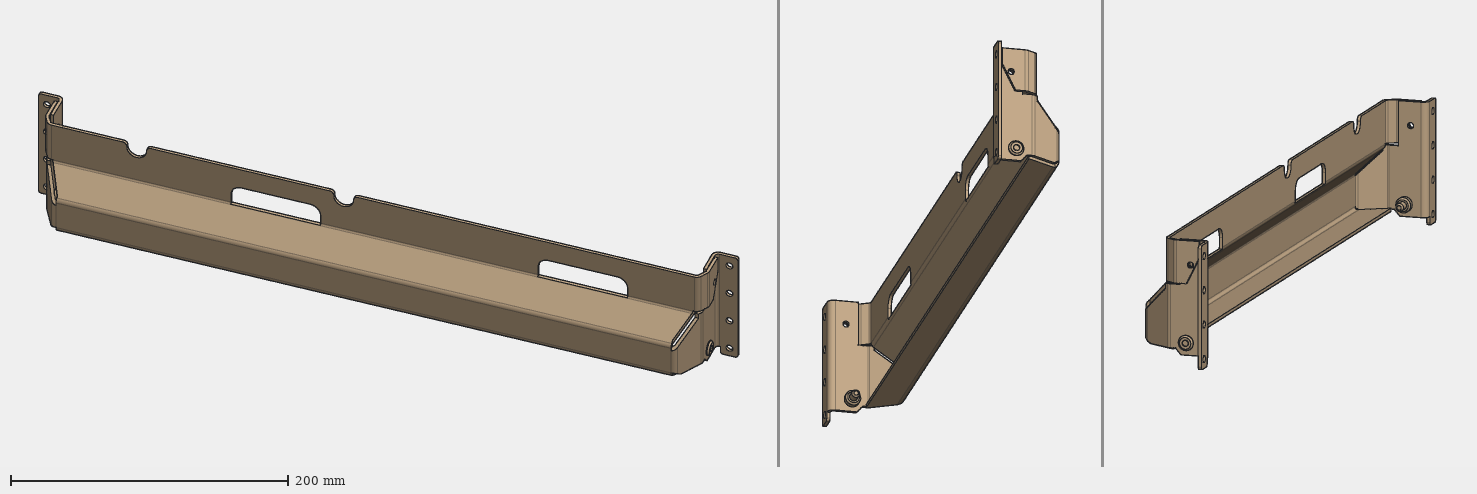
import cadquery as cq
import math

length = 539.0
depth = 53.0
height = 91.5
sheet = 2.5
inner_bend = 2.4
outer_bend = inner_bend + sheet

half = length / 2
wall_x = -half + 16.5
cheek_front_x = -half + 29.5
cheek_angle = math.radians(30)
wall_bottom = 6.5
cheek_bottom = 11.5
wall_front_low = 21.0
wall_front_high = 25.5
cheek_gap = 1.45
wall_top_front = 22.0
roof_gap = 0.5

shelf_bottom = 9.5
shelf_back = 27.5
plate_depth = 33.5
roof_top = 58.5
front_top = roof_top - (depth - plate_depth)

tab_gap = 0.45
tab_x = wall_x - tab_gap - sheet
strap_front_x = -half + 19.0
tab_bottom = 60.0
tab_back = 6.5
tab_chamfer_depth = 9.5
tab_chamfer_height = 19.5
tab_hole_diameter = 4.5
tab_hole_depth = 13.0
tab_hole_z = 74.0

flange_width = 13.5
flange_corner = 2.0
flange_hole_diameter = 5.2
flange_hole_edge = 6.5
flange_hole_bottom = 7.0
flange_hole_pitch = 25.5
flange_hole_count = 4

slot_width = 69.0
slot_corner = 8.0
slot_top = 75.0
slot_bottom = 58.0
slot_centres = (-75.0, 161.5)
notch_radius = 7.5
notch_depth = 11.5
notch_rounding = 3.0
notch_centres = (-182.0, -22.5)

screw_depth = 17.0
screw_z = 15.5
screw_diameter = 6.0
screw_length = 15.5
screw_tip_chamfer = 1.35
head_diameter = 11.5
head_top_diameter = 8.5
head_height = 2.0
socket_diameter = 4.5
socket_depth = 1.0
nut_diameter = 11.5
nut_height = 5.1
nut_chamfer = 1.35


left_end = cq.Plane(origin=(-half, 0, 0), xDir=(0, 1, 0), normal=(1, 0, 0))


def unit(start, end):
    """Unit direction from one 2D point to another."""
    span = math.dist(start, end)
    return (end[0] - start[0]) / span, (end[1] - start[1]) / span


def bent_sheet(plane, points, width):
    """Folded sheet: points trace one face, and the thickness lies on their left."""
    directions = [unit(a, b) for a, b in zip(points, points[1:])]
    before = directions[:1] + directions
    after = directions + directions[-1:]
    other_face = []
    turns = []
    for (x, y), (ax, ay), (bx, by) in zip(points, before, after):
        scale = sheet / (1 + ax * bx + ay * by)
        other_face.append((x - scale * (ay + by), y + scale * (ax + bx)))
        turns.append(ax * by - ay * bx)
    body = cq.Workplane(plane).polyline(points + other_face[::-1]).close().extrude(width)
    for traced, opposite, turn in list(zip(points, other_face, turns))[1:-1]:
        inside, outside = (opposite, traced) if turn > 0 else (traced, opposite)
        for corner, radius in ((inside, inner_bend), (outside, outer_bend)):
            middle = plane.toWorldCoords((corner[0], corner[1], width / 2))
            body = body.edges(cq.NearestToPointSelector(middle.toTuple())).fillet(radius)
    return body


def side_prism(points):
    """Solid over a Y-Z outline that spans the whole length."""
    return cq.Workplane(left_end).polyline(points).close().extrude(length)


def both_ends(body):
    """The left-end body joined with its mirror image at the right end."""
    return body.union(body.mirror("YZ"))


def cheek_x(y):
    """X of the left cheek's outer face at a given Y."""
    return cheek_front_x - (y + depth) * math.tan(cheek_angle)


cheek_turn = math.pi / 2 - cheek_angle
front_bend_x = cheek_front_x + outer_bend * math.tan(cheek_turn / 2)


def panels():
    """Shelf, front, roof and upper plate, trimmed to clear the cheeks."""
    profile = [
        (-plate_depth, height),
        (-plate_depth, roof_top),
        (-depth, front_top),
        (-depth, shelf_bottom),
        (-shelf_back, shelf_bottom),
    ]
    ribbon = bent_sheet(left_end, profile, length)
    inset = (sheet + cheek_gap) / math.cos(cheek_angle)
    back_x = cheek_x(-shelf_back) + inset
    front_y = -depth + (cheek_front_x + inset - front_bend_x) / math.tan(cheek_angle)
    plan = [
        (front_bend_x, -depth),
        (front_bend_x, front_y),
        (back_x, -shelf_back),
        (-back_x, -shelf_back),
        (-front_bend_x, front_y),
        (-front_bend_x, -depth),
    ]
    return ribbon.intersect(cq.Workplane("XY").polyline(plan).close().extrude(height))


def end_wall():
    """Left cheek, end wall and mounting flange, folded back from the front panel."""
    wall_bend_y = -depth + (cheek_front_x - wall_x) / math.tan(cheek_angle)
    profile = [
        (-half, -sheet),
        (wall_x, -sheet),
        (wall_x, wall_bend_y),
        (cheek_front_x, -depth),
        (front_bend_x + sheet, -depth),
    ]
    ribbon = bent_sheet(cq.Plane.XY(), profile, height)
    roof_drop = (sheet + roof_gap) * math.sqrt(2)
    outline = [
        (0, 0),
        (-sheet, 0),
        (-sheet, wall_bottom),
        (-wall_front_low, wall_bottom),
        (-wall_front_high, cheek_bottom),
        (outer_bend - depth, cheek_bottom),
        (-depth, shelf_bottom + outer_bend),
        (-depth, front_top - roof_drop),
        (-plate_depth, roof_top - roof_drop),
        (-plate_depth, tab_bottom - cheek_gap),
        (-wall_top_front, tab_bottom - cheek_gap),
        (-wall_top_front, height),
        (0, height),
    ]
    return ribbon.intersect(side_prism(outline))


def strap():
    """Left strap and tab, folded back from the upper plate beside the end wall."""
    bend_y = -plate_depth + (strap_front_x - tab_x) / math.tan(cheek_angle)
    profile = [
        (tab_x, -tab_back),
        (tab_x, bend_y),
        (strap_front_x, -plate_depth),
        (front_bend_x, -plate_depth),
    ]
    ribbon = bent_sheet(cq.Plane.XY(), profile, height)
    outline = [
        (-tab_back, height),
        (-tab_back, tab_bottom + tab_chamfer_height),
        (-tab_back - tab_chamfer_depth, tab_bottom),
        (-depth, tab_bottom),
        (-depth, height),
    ]
    return ribbon.intersect(side_prism(outline))


def flange_clearance():
    """Clearance beside the left flange, below the end wall."""
    clearance = cq.Workplane("XY").box(half, depth, wall_bottom, centered=False)
    return clearance.translate((flange_width - half, -depth, 0))


def flange_corners():
    """Material outside the rounded corners of the left flange."""
    square = (
        cq.Workplane("XY")
        .box(flange_width, sheet, height, centered=False)
        .translate((-half, -sheet, 0))
    )
    rounded = square.edges("|Y and (<X or <Z)").fillet(flange_corner)
    return square.cut(rounded)


def flange_holes():
    """Row of holes through the left flange."""
    points = [
        (flange_hole_edge - half, flange_hole_bottom + i * flange_hole_pitch)
        for i in range(flange_hole_count)
    ]
    return cq.Workplane("XZ").pushPoints(points).circle(flange_hole_diameter / 2).extrude(sheet)


def cross_hole(diameter, y, z):
    """Cylinder along X through both end walls."""
    hole = cq.Workplane("YZ").center(y, z).circle(diameter / 2)
    return hole.extrude(half, both=True)


def plate_slot(x):
    """Slot with rounded top corners, open to the roof bend."""
    slot_height = slot_top - slot_bottom
    slot = cq.Workplane("XY").box(slot_width, depth, slot_height)
    slot = slot.edges("|Y and >Z").fillet(slot_corner)
    return slot.translate((x, -depth / 2, slot_bottom + slot_height / 2))


def plate_notch(x):
    """Round-bottomed notch in the plate's top edge, flared by rounded shoulders."""
    centre_z = height - notch_depth + notch_radius
    shoulder_x = notch_radius + notch_rounding
    shoulder_z = height - notch_rounding
    diagonal = notch_rounding * math.sqrt(0.5)
    outline = (
        cq.Workplane("XZ")
        .moveTo(-shoulder_x, height)
        .threePointArc((-shoulder_x + diagonal, shoulder_z + diagonal), (-notch_radius, shoulder_z))
        .lineTo(-notch_radius, centre_z)
        .threePointArc((0, height - notch_depth), (notch_radius, centre_z))
        .lineTo(notch_radius, shoulder_z)
        .threePointArc((shoulder_x - diagonal, shoulder_z + diagonal), (shoulder_x, height))
        .close()
    )
    return outline.extrude(depth).translate((x, 0, 0))


def make_cover():
    """Folded cover with both ends, its holes, slots and notches."""
    end = end_wall().union(strap())
    end = end.cut(flange_clearance()).cut(flange_corners()).cut(flange_holes())
    cover = panels().union(both_ends(end))
    cover = cover.cut(cross_hole(tab_hole_diameter, -tab_hole_depth, tab_hole_z))
    cover = cover.cut(cross_hole(screw_diameter, -screw_depth, screw_z))
    for x in slot_centres:
        cover = cover.cut(plate_slot(x))
    for x in notch_centres:
        cover = cover.cut(plate_notch(x))
    return cover


def place_at_wall(body, side):
    """Moves a left-end body from the origin to the wall at side -1 or +1."""
    placed = body.translate((wall_x, -screw_depth, screw_z))
    return placed if side < 0 else placed.mirror("YZ")


def make_screw(side):
    """Screw with a chamfered round head outside the end wall."""
    head = cq.Workplane("YZ").circle(head_diameter / 2).extrude(-head_height)
    head = head.faces("<X").chamfer((head_diameter - head_top_diameter) / 2)
    shank = cq.Workplane("YZ").circle(screw_diameter / 2).extrude(screw_length)
    shank = shank.faces(">X").chamfer(screw_tip_chamfer)
    socket = cq.Workplane("YZ", origin=(-head_height, 0, 0)).circle(socket_diameter / 2)
    return place_at_wall(head.union(shank).cut(socket.extrude(socket_depth)), side)


def make_nut(side):
    """Round nut on the inner face of the end wall."""
    nut = cq.Workplane("YZ", origin=(sheet, 0, 0)).circle(nut_diameter / 2).extrude(nut_height)
    nut = nut.faces(">X").chamfer(nut_chamfer)
    bore = cq.Workplane("YZ").circle(screw_diameter / 2).extrude(screw_length)
    return place_at_wall(nut.cut(bore), side)


cover = make_cover().solids()
screws = [make_screw(side).solids().val() for side in (-1, 1)]
nuts = [make_nut(side).solids().val() for side in (-1, 1)]

result = cq.Compound.makeCompound([cover.val(), *screws, *nuts])